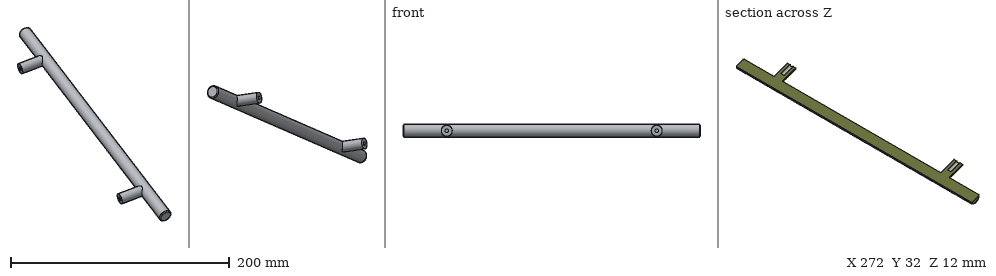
import cadquery as cq

bar_length = 272.0
bar_diameter = 12.0
bar_end_chamfer = 1.0

overall_depth = 32.0
post_diameter = 10.0
post_spacing = 192.0
post_length = overall_depth - bar_diameter / 2

screw_hole_diameter = 3.3
screw_hole_depth = 13.5


def cylinder_towards_bar(x, diameter, length):
    """Cylinder starting at the post foot and running in +Y to the bar."""
    foot = cq.Workplane("XZ", origin=(x, -post_length, 0))
    return foot.circle(diameter / 2).extrude(-length)


result = (
    cq.Workplane("YZ", origin=(-bar_length / 2, 0, 0))
    .circle(bar_diameter / 2)
    .extrude(bar_length)
    .faces("<X or >X")
    .chamfer(bar_end_chamfer)
)

for post_x in (-post_spacing / 2, post_spacing / 2):
    post = cylinder_towards_bar(post_x, post_diameter, post_length)
    screw_hole = cylinder_towards_bar(post_x, screw_hole_diameter, screw_hole_depth)
    result = result.union(post).cut(screw_hole)